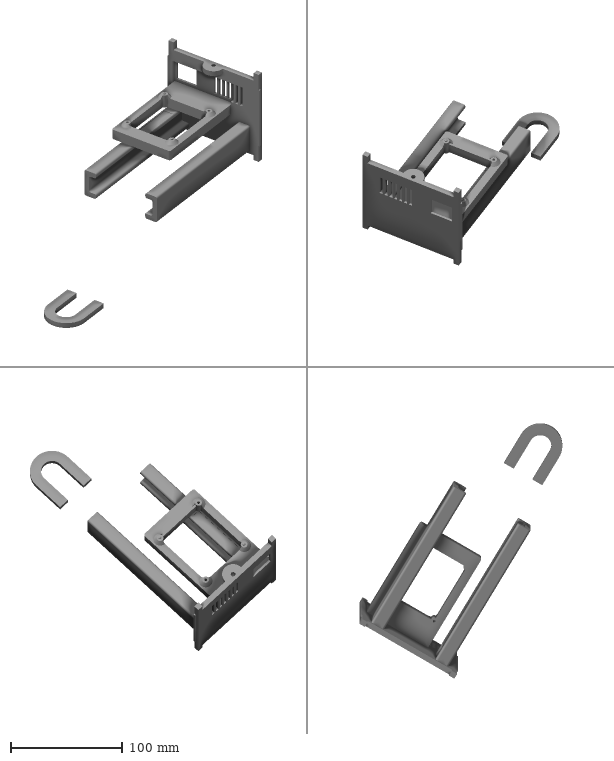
import cadquery as cq


overall_length = 255.0
overall_height = 155.0

plate_thickness = 5.0
plate_width = 99.0
plate_height = 93.0
post_width = 5.4
top_notch_depth = 8.2
bottom_notch_depth = 5.0
plate_top = plate_height - top_notch_depth

lip_span = 101.0
lip_thickness = 2.0
lip_bottom = 16.8
lip_height = 60.0

opening_bottom = 53.0
opening_top = 73.0
slot_count = 7
slot_width = 3.0
first_slot_x = 0.3
last_slot_x = 30.3
slot_pitch = (last_slot_x - first_slot_x) / (slot_count - 1)
window_left = -42.5
window_width = 21.7
window_height = 17.5
recess_depth = 3.0

tab_radius = 10.0
tab_thickness = 5.0
socket_sides = 6
socket_across_flats = 4.0
socket_depth = 10.0

shelf_width = 64.0
shelf_length = 95.0
shelf_thickness = 10.0
shelf_bottom = 40.0
shelf_top = shelf_bottom + shelf_thickness
shelf_center_x = -13.0
shelf_corner_radius = 2.0

standoff_spacing_x = 49.0
standoff_spacing_y = 58.0
standoff_back_y = -23.5
standoff_height = 3.0
standoff_top_radius = 3.0
standoff_base_radius = standoff_top_radius + standoff_height
standoff_hole_diameter = 2.5
pin_base_height = 0.8
pin_tip_height = 0.8

cone_clearance = 2.0

window_limits = (
    shelf_center_x - standoff_spacing_x / 2,
    shelf_center_x + standoff_spacing_x / 2,
    standoff_back_y - standoff_spacing_y,
    standoff_back_y,
)

rail_length = 145.0
rail_width = 13.0
rail_height = 27.0
rail_wall = 5.0
rail_bottom = 8.0
rail_outer_x = 40.0
rail_corner_radius = 2.0
rail_relief_depth = 0.5

clip_outer_radius = 20.0
clip_inner_radius = 10.0
clip_leg_length = 30.0
clip_thickness = 5.0
clip_bottom = plate_height - overall_height
clip_front_y = plate_thickness - overall_length


def block(x_min, x_max, y_min, y_max, z_min, z_max):
    """Axis-aligned box between the given limits."""
    size = (x_max - x_min, y_max - y_min, z_max - z_min)
    return cq.Workplane("XY").box(*size, centered=False).translate((x_min, y_min, z_min))


def make_plate():
    """Plate with four corner posts and a thin lip along each side."""
    half_width = plate_width / 2
    half_notch = half_width - post_width
    plate = block(-half_width, half_width, 0, plate_thickness, 0, plate_height)
    plate = plate.cut(block(-half_notch, half_notch, 0, plate_thickness, plate_top, plate_height))
    plate = plate.cut(block(-half_notch, half_notch, 0, plate_thickness, 0, bottom_notch_depth))
    return plate.union(
        block(-lip_span / 2, lip_span / 2, 0, lip_thickness, lip_bottom, lip_bottom + lip_height)
    )


def make_plate_openings():
    """Display window, vent slots and the shallow recess above the shelf."""
    shelf_left = shelf_center_x - shelf_width / 2
    openings = block(shelf_left, shelf_left + shelf_width, 0, recess_depth, shelf_top, opening_top)
    openings = openings.union(
        block(
            window_left, window_left + window_width,
            0, plate_thickness,
            opening_bottom, opening_bottom + window_height,
        )
    )
    for index in range(slot_count):
        slot_left = first_slot_x + index * slot_pitch - slot_width / 2
        openings = openings.union(
            block(slot_left, slot_left + slot_width, 0, plate_thickness, opening_bottom, opening_top)
        )
    return openings


def make_tab():
    """Half disc that stands out from the top of the plate."""
    disc = cq.Workplane("XY").circle(tab_radius).extrude(tab_thickness)
    half = disc.intersect(block(-tab_radius, tab_radius, -tab_radius, 0, 0, tab_thickness))
    return half.translate((0, 0, plate_top - tab_thickness))


def make_socket():
    """Hexagonal pocket centred on the plate face, with corners toward +Y and -Y."""
    return (
        cq.Workplane("XY", origin=(0, 0, plate_top))
        .polygon(socket_sides, socket_across_flats, circumscribed=True)
        .extrude(-socket_depth)
    )


def make_standoff_cone():
    """Conical seat on the shelf, around the origin."""
    return cq.Workplane(
        cq.Solid.makeCone(standoff_base_radius, standoff_top_radius, standoff_height)
    )


def make_pin():
    """Short pointed locating pin, base at the origin."""
    radius = standoff_hole_diameter / 2
    tip = cq.Workplane(cq.Solid.makeCone(radius, 0, pin_tip_height)).translate((0, 0, pin_base_height))
    return cq.Workplane("XY").circle(radius).extrude(pin_base_height).union(tip)


def make_shelf():
    """Frame with a standoff at each window corner; pins and through holes alternate."""
    left, right, front, back = window_limits
    corners = [(left, back, True), (right, back, False), (right, front, True), (left, front, False)]

    shelf = block(
        shelf_center_x - shelf_width / 2, shelf_center_x + shelf_width / 2,
        -shelf_length, 0,
        shelf_bottom, shelf_top,
    )
    shelf = shelf.edges("|Z and <Y").fillet(shelf_corner_radius)
    standoff_top = shelf_top + standoff_height
    for x, y, _ in corners:
        shelf = shelf.union(make_standoff_cone().translate((x, y, shelf_top)))
    shelf = shelf.cut(block(left, right, front, back, shelf_bottom, standoff_top))
    shelf = shelf.cut(block(left, right, front - cone_clearance, back, shelf_top, standoff_top))

    post_height = shelf_thickness + standoff_height
    for x, y, has_pin in corners:
        post = cq.Workplane("XY").circle(standoff_top_radius).extrude(post_height)
        shelf = shelf.union(post.translate((x, y, shelf_bottom)))
        if has_pin:
            shelf = shelf.union(make_pin().translate((x, y, standoff_top)))
        else:
            hole = cq.Workplane("XY").circle(standoff_hole_diameter / 2).extrude(post_height)
            shelf = shelf.cut(hole.translate((x, y, shelf_bottom)))
    return shelf


def make_rail(square_lip):
    """C-shaped rail on the +X side, open toward the middle, with rounded long edges.

    With square_lip, the upper inner edge of its lower flange stays sharp.
    """
    inner_x = rail_outer_x - rail_width
    rail = block(inner_x, rail_outer_x, -rail_length, 0, rail_bottom, rail_bottom + rail_height)
    channel = block(
        inner_x, rail_outer_x - rail_wall,
        -rail_length, 0,
        rail_bottom + rail_wall, rail_bottom + rail_height - rail_wall,
    )
    rail = rail.cut(channel)
    rounded_edges = rail.edges("|Y")
    if square_lip:
        lip_edge = cq.selectors.NearestToPointSelector(
            (inner_x, -rail_length / 2, rail_bottom + rail_wall)
        )
        all_but_lip_edge = cq.selectors.InverseSelector(lip_edge)
        rounded_edges = rounded_edges.edges(all_but_lip_edge)
    return rounded_edges.fillet(rail_corner_radius)


def make_left_rail():
    """Mirror of the right rail, with a shallow relief in its top face below the shelf window."""
    left, right, front, back = window_limits
    rail_top = rail_bottom + rail_height
    relief = block(left, right, front, back, rail_top - rail_relief_depth, rail_top)
    return make_rail(square_lip=False).mirror("YZ").cut(relief)


def make_frame():
    """Plate, tab, shelf and both rails in one piece."""
    frame = make_plate().cut(make_plate_openings())
    frame = frame.union(make_tab()).cut(make_socket())
    frame = frame.union(make_shelf())
    return frame.union(make_rail(square_lip=True)).union(make_left_rail())


def make_clip():
    """Flat U with its round end toward -Y."""
    arc_y = clip_front_y + clip_outer_radius
    leg_end_y = arc_y + clip_leg_length
    return (
        cq.Workplane("XY", origin=(0, 0, clip_bottom))
        .moveTo(-clip_outer_radius, leg_end_y)
        .lineTo(-clip_outer_radius, arc_y)
        .threePointArc((0, clip_front_y), (clip_outer_radius, arc_y))
        .lineTo(clip_outer_radius, leg_end_y)
        .lineTo(clip_inner_radius, leg_end_y)
        .lineTo(clip_inner_radius, arc_y)
        .threePointArc((0, arc_y - clip_inner_radius), (-clip_inner_radius, arc_y))
        .lineTo(-clip_inner_radius, leg_end_y)
        .close()
        .extrude(clip_thickness)
    )


frame = make_frame()
clip = make_clip()

result = cq.Compound.makeCompound([frame.val(), clip.val()])